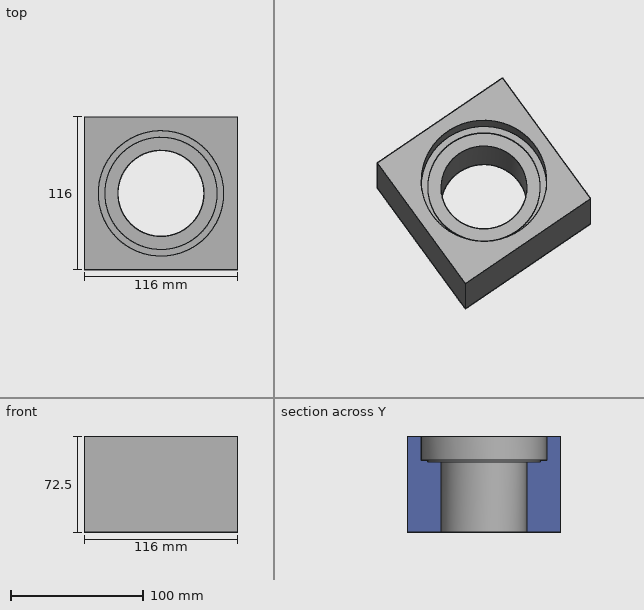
import cadquery as cq

block_side = 116.0
block_height = 72.5

bore_diameter = 65.0
recess_diameter = 95.0
recess_depth = 18.0
step_diameter = 85.0
step_depth = 1.2


def round_cut(diameter, depth):
    """Vertical cylinder reaching down from the top face of the block."""
    return cq.Workplane("XY").workplane(offset=block_height - depth).circle(diameter / 2).extrude(depth)


block = cq.Workplane("XY").box(block_side, block_side, block_height, centered=(True, True, False))

result = (
    block
    .cut(round_cut(bore_diameter, block_height))
    .cut(round_cut(recess_diameter, recess_depth))
    .cut(round_cut(step_diameter, recess_depth + step_depth))
)